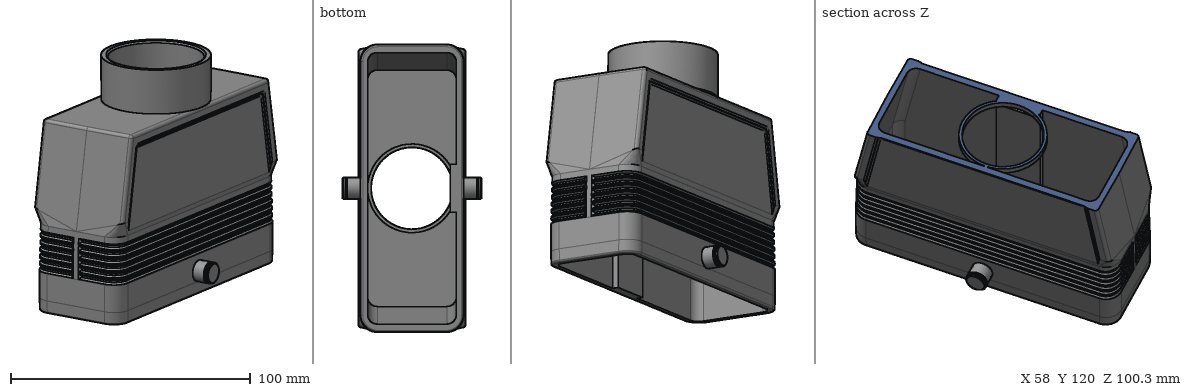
import cadquery as cq
import math

rim_line_z = 5.6
skirt_top_z = 17.3
band_top_z = 38.0
shoulder_z = 44.5
body_top_z = 81.2
collar_top_z = 100.25

skirt_half_x, skirt_half_y = 21.5, 60.0
band_half_x, band_half_y = 21.1, 59.6
body_half_x = 22.4
skirt_corner = 7.0
rim_inset = 0.1
rim_fillet = 0.8

ridge_foot_y = band_half_y
ridge_top_y = 51.7
ridge_rise = 0.3
body_fillet = 1.5
end_slope = (ridge_foot_y - ridge_top_y) / (body_top_z - band_top_z)

groove_count = 6
groove_pitch = 3.04
first_groove_z = 18.7
groove_floor = 0.8
groove_mouth = 2.4
groove_depth = 0.8
strip_half_x = 1.25
strip_flare = 1.3

panel_foot_z, panel_top_z = 30.0, 76.7
panel_top_half_y = 47.9
panel_slope = 0.178
panel_corner = 1.5
panel_steps = ((0.9, 0.3), (0.2, 0.26), (0.9, 0.3))

collar_radius = 22.95
bore_radius = 20.1
bore_chamfer = 0.75
bore_floor_z = 84.0
passage_radius = 17.0
sleeve_radius = 18.5
sleeve_bottom_z = 73.0

peg_z = 10.0
peg_radius = 4.55
peg_tip_x = 29.0
peg_chamfer = 0.5
peg_groove_x = 27.3
peg_groove_width = 0.7
peg_groove_depth = 0.15

cavity_half_x = 18.5
end_wall = 3.0
cavity_corner = 4.0
cavity_top_z = 78.0
pad_face_x = 15.85
pad_width = 20.0


def rounded_slab(bottom, top):
    """Loft between two centred rounded rectangles (half_x, half_y, radius, z)."""
    profiles = []
    for half_x, half_y, radius, z in (bottom, top):
        sketch = cq.Sketch().rect(2 * half_x, 2 * half_y).vertices().fillet(radius)
        profiles.append(sketch.moved(cq.Location(cq.Vector(0, 0, z))))
    return cq.Workplane("XY").placeSketch(*profiles).loft(ruled=True)


def box_between(half_x, half_y, z0, z1):
    """Box centred on the Z axis between two heights."""
    return cq.Workplane("XY").workplane(offset=z0).rect(2 * half_x, 2 * half_y).extrude(z1 - z0)


def ridge_y(z):
    """Half-length of the upper body on its ridge at height z."""
    return ridge_foot_y - end_slope * (z - band_top_z)


def grip_size(z):
    """Half-width, half-length and corner radius of the tapering grip zone at height z."""
    t = (z - skirt_top_z) / (band_top_z - skirt_top_z)
    half_x = skirt_half_x + t * (band_half_x - skirt_half_x)
    half_y = skirt_half_y + t * (band_half_y - skirt_half_y)
    return half_x, half_y, skirt_corner


def make_skirt():
    """Lead-in rim and the plain skirt that carries the pegs."""
    foot = (skirt_half_x - rim_inset, skirt_half_y - rim_inset, skirt_corner, 0)
    line = (skirt_half_x, skirt_half_y, skirt_corner, rim_line_z)
    rim = rounded_slab(foot, line).faces("<Z").edges().fillet(rim_fillet)
    skirt = rounded_slab(line, (skirt_half_x, skirt_half_y, skirt_corner, skirt_top_z))
    return rim.union(skirt)


def make_grip():
    """Tapering zone between the skirt and the shoulder, before it is grooved."""
    bottom = (*grip_size(skirt_top_z), skirt_top_z)
    top = (*grip_size(band_top_z), band_top_z)
    return rounded_slab(bottom, top)


def make_groove(z_mid):
    """Trapezoidal groove around the grip, interrupted by the strips on the two ends."""
    half_x, half_y, radius = grip_size(z_mid)
    core_x, core_y, core_r = half_x - groove_depth, half_y - groove_depth, radius - groove_depth
    z0 = z_mid - groove_mouth / 2
    z1 = z_mid - groove_floor / 2
    z2 = z_mid + groove_floor / 2
    z3 = z_mid + groove_mouth / 2
    flank = z1 - z0
    excess = groove_depth
    outer = box_between(half_x + excess, half_y + excess, z0 - flank, z3 + flank)
    far = (half_x + excess, half_y + excess, radius + excess)
    core = rounded_slab((*far, z0 - flank), (core_x, core_y, core_r, z1))
    core = core.union(rounded_slab((core_x, core_y, core_r, z1), (core_x, core_y, core_r, z2)))
    core = core.union(rounded_slab((core_x, core_y, core_r, z2), (*far, z3 + flank)))
    tip_y = half_y + groove_depth / 2
    floor_x = strip_half_x + strip_flare
    tip_x = strip_half_x - strip_flare / 2
    strip = (
        cq.Workplane("XY").workplane(offset=z0 - flank)
        .polyline([
            (-floor_x, core_y), (floor_x, core_y), (tip_x, tip_y),
            (tip_x, half_y + excess), (-tip_x, half_y + excess), (-tip_x, tip_y),
        ]).close().extrude(z3 - z0 + 2 * flank)
    )
    return outer.cut(core).cut(strip).cut(strip.mirror("XZ"))


def make_upper_body():
    """Six-sided tapering block with rounded edges and a V-shaped underside."""
    def hexagon(z):
        y = ridge_y(z)
        corner_y = y - ridge_rise
        return [
            (body_half_x, -corner_y), (body_half_x, corner_y), (0, y),
            (-body_half_x, corner_y), (-body_half_x, -corner_y), (0, -y),
        ]

    block = (
        cq.Workplane("XY").workplane(offset=band_top_z).polyline(hexagon(band_top_z)).close()
        .workplane(offset=body_top_z - band_top_z).polyline(hexagon(body_top_z)).close()
        .loft(ruled=True)
    )
    corner_edges = block.edges("(not #Z) and (not <Z)").edges("<X or >X")
    block = corner_edges.add(block.faces(">Z").edges()).fillet(body_fillet)
    envelope = (
        cq.Workplane("XZ")
        .polyline([
            (0, band_top_z), (body_half_x, shoulder_z), (body_half_x, body_top_z),
            (-body_half_x, body_top_z), (-body_half_x, shoulder_z),
        ]).close().extrude(skirt_half_y, both=True)
    )
    return block.intersect(envelope)


def make_shoulder():
    """Flare from the round-cornered band to the upper body."""
    bottom = (band_half_x, band_half_y, skirt_corner, band_top_z)
    top = (body_half_x, ridge_y(shoulder_z) - ridge_rise, body_fillet, shoulder_z)
    return rounded_slab(bottom, top)


def make_panel():
    """Recess cutter for the -X side: stacked trapezoids, each inset from the one outside it."""
    def outline(inset, x):
        lean = math.hypot(1, panel_slope)
        top_z = panel_top_z - inset
        top_y = panel_top_half_y - inset * lean + panel_slope * inset
        foot_y = top_y + panel_slope * (top_z - panel_foot_z)
        trapezoid = (
            cq.Sketch()
            .polygon([
                (-foot_y, panel_foot_z), (foot_y, panel_foot_z), (top_y, top_z),
                (-top_y, top_z), (-foot_y, panel_foot_z),
            ]).vertices(">Y").fillet(panel_corner)
        )
        return trapezoid, cq.Plane(origin=(x, 0, 0), xDir=(0, -1, 0), normal=(-1, 0, 0))

    cutter = None
    inset = 0.0
    x = -body_half_x
    for step_width, step_depth in panel_steps:
        outer, plane = outline(inset, x)
        inset += step_width
        x += step_depth
        inner, _ = outline(inset, x)
        inner = inner.moved(cq.Location(cq.Vector(0, 0, -step_depth)))
        step = cq.Workplane(plane).placeSketch(outer, inner).loft(ruled=True)
        cutter = step if cutter is None else cutter.union(step)
    return cutter


def make_peg():
    """Locking peg on the +X side with a shallow ring near its tip."""
    peg = (
        cq.Workplane("YZ").workplane(offset=cavity_half_x).center(0, peg_z)
        .circle(peg_radius).extrude(peg_tip_x - cavity_half_x).faces(">X").chamfer(peg_chamfer)
    )
    ring = (
        cq.Workplane("YZ").workplane(offset=peg_groove_x - peg_groove_width / 2).center(0, peg_z)
        .circle(peg_radius).circle(peg_radius - peg_groove_depth).extrude(peg_groove_width)
    )
    return peg.cut(ring)


def make_cavity():
    """Interior of the hood, less the pad and the sleeve that stand inside it."""
    lower = rounded_slab(
        (cavity_half_x, band_half_y - end_wall, cavity_corner, 0),
        (cavity_half_x, band_half_y - end_wall, cavity_corner, band_top_z),
    )
    upper = rounded_slab(
        (cavity_half_x, band_half_y - end_wall, cavity_corner, band_top_z),
        (cavity_half_x, ridge_y(cavity_top_z) - end_wall, cavity_corner, cavity_top_z),
    )
    pad = (
        cq.Workplane("XY").rect(2 * cavity_half_x - 2 * pad_face_x, pad_width)
        .extrude(cavity_top_z).translate((cavity_half_x, 0, 0))
    )
    sleeve = (
        cq.Workplane("XY").workplane(offset=sleeve_bottom_z)
        .circle(sleeve_radius).extrude(cavity_top_z - sleeve_bottom_z)
    )
    return lower.union(upper).cut(pad).cut(sleeve)


def make_bore():
    """Socket in the collar above the cable passage into the cavity."""
    return (
        cq.Workplane("XZ")
        .polyline([
            (0, sleeve_bottom_z), (passage_radius, sleeve_bottom_z), (passage_radius, bore_floor_z),
            (bore_radius, bore_floor_z), (bore_radius, collar_top_z - bore_chamfer),
            (bore_radius + bore_chamfer, collar_top_z), (0, collar_top_z),
        ]).close().revolve(360, (0, 0, 0), (0, 1, 0))
    )


grip = make_grip()
for index in range(groove_count):
    grip = grip.cut(make_groove(first_groove_z + index * groove_pitch))

left_panel = make_panel()
upper = make_upper_body().union(make_shoulder())
upper = upper.cut(left_panel).cut(left_panel.mirror("YZ"))

collar = (
    cq.Workplane("XY").workplane(offset=body_top_z)
    .circle(collar_radius).extrude(collar_top_z - body_top_z)
)

right_peg = make_peg()
hood = make_skirt().union(grip).union(upper).union(collar)
hood = hood.union(right_peg).union(right_peg.mirror("YZ"))
result = hood.cut(make_cavity()).cut(make_bore())